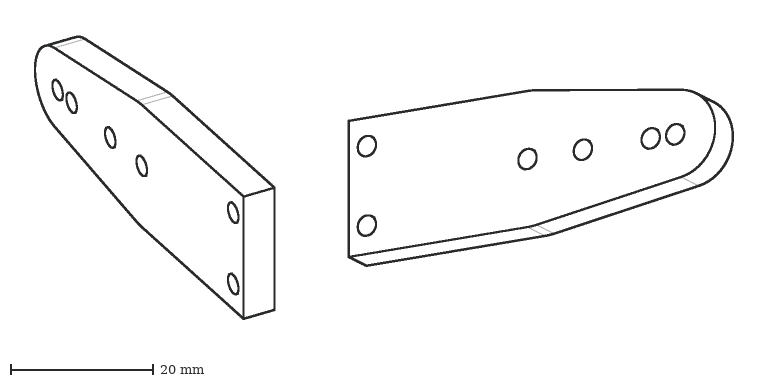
import cadquery as cq
import math

length = 59.5
thickness = 5.0
height = 20.0
tip_radius = 6.5
hole_diameter = 3.0
shoulder_x = 30.45
centerline_hole_xs = (tip_radius, 10.45, 21.5, shoulder_x)
end_hole_x = 56.5
end_hole_spacing = 11.65

shoulder_radius = height / 2
taper = math.asin((shoulder_radius - tip_radius) / (shoulder_x - tip_radius))


def arc_point(center_x, radius, angle):
    """Point on a centreline circle, at an angle leaning from +Z toward -X."""
    return (center_x - radius * math.sin(angle), radius * math.cos(angle))


def mirrored(point):
    """Reflect a profile point across the centreline."""
    return (point[0], -point[1])


def make_plate():
    tip_tangent = arc_point(tip_radius, tip_radius, taper)
    shoulder_start = arc_point(shoulder_x, shoulder_radius, taper)
    shoulder_middle = arc_point(shoulder_x, shoulder_radius, taper / 2)
    shoulder_end = (shoulder_x, shoulder_radius)
    end_corner = (length, shoulder_radius)
    return (
        cq.Workplane("XZ")
        .moveTo(*mirrored(tip_tangent))
        .threePointArc((0, 0), tip_tangent)
        .lineTo(*shoulder_start)
        .threePointArc(shoulder_middle, shoulder_end)
        .lineTo(*end_corner)
        .lineTo(*mirrored(end_corner))
        .lineTo(*mirrored(shoulder_end))
        .threePointArc(mirrored(shoulder_middle), mirrored(shoulder_start))
        .close()
        .extrude(thickness)
    )


def make_holes():
    centers = [(x, 0) for x in centerline_hole_xs]
    centers += [(end_hole_x, side * end_hole_spacing / 2) for side in (-1, 1)]
    return cq.Workplane("XZ").pushPoints(centers).circle(hole_diameter / 2).extrude(thickness)


result = make_plate().cut(make_holes())